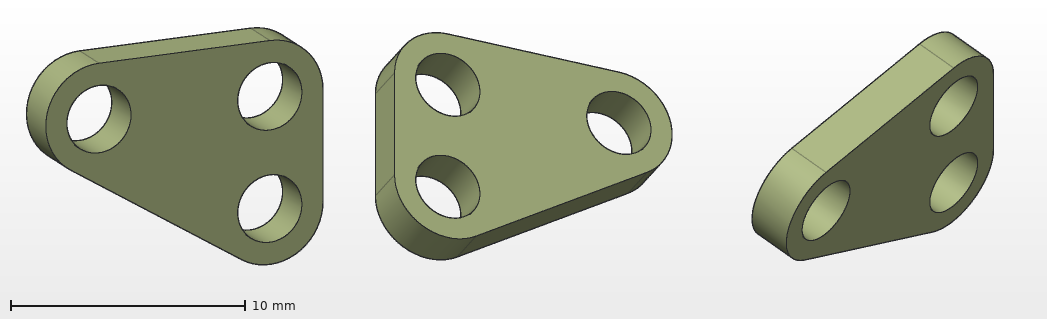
import cadquery as cq
import math

length = 13.0
height = 10.0
thickness = 2.0
corner_radius = 2.5
hole_diameter = 3.0

y_offset = length / 2 - corner_radius
z_offset = height / 2 - corner_radius
square_corner = (y_offset, z_offset)
far_corner = (-y_offset, z_offset)
lower_corner = (y_offset, -z_offset)

slope_normal = 180 + math.degrees(math.atan2(y_offset, z_offset))


def rim_point(center, angle):
    """Point on the rounded corner about center, at an angle in degrees from +Y."""
    return (
        center[0] + corner_radius * math.cos(math.radians(angle)),
        center[1] + corner_radius * math.sin(math.radians(angle)),
    )


def add_corner(outline, center, start, end):
    """Draw a straight edge to the corner, then its arc from start to end angle."""
    return outline.lineTo(*rim_point(center, start)).threePointArc(
        rim_point(center, (start + end) / 2), rim_point(center, end)
    )


outline = cq.Workplane("YZ").moveTo(*rim_point(lower_corner, 0))
outline = add_corner(outline, square_corner, 0, 90)
outline = add_corner(outline, far_corner, 90, slope_normal)
outline = add_corner(outline, lower_corner, slope_normal, 360)
plate = outline.close().extrude(thickness / 2, both=True)

holes = (
    cq.Workplane("YZ")
    .pushPoints([square_corner, far_corner, lower_corner])
    .circle(hole_diameter / 2)
    .extrude(thickness / 2, both=True)
)

result = plate.cut(holes)